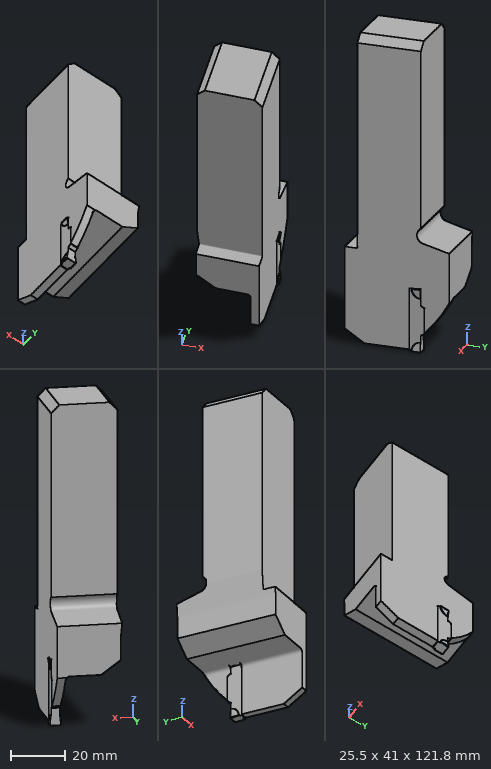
import cadquery as cq

total_height = 121.8
shank_side = 25.0
shank_front_y = 5.0
shank_back_y = shank_front_y + shank_side
shank_chamfer = 3.0

head_depth = 41.0
head_left_x = 1.1
taper_top_z = 45.7
taper_bottom_z = 35.3
taper_blend_radius = 10.5
ledge_z = 37.9
ledge_fillet = 0.5
head_bevel_x = 8.4
head_bevel_top_z = 26.5
head_bottom_z = 21.3
relief_top_z = 48.8
relief_floor_y = 28.4
relief_middle_z = 46.0
relief_end_y = 30.3
relief_bottom_z = 43.2
flare_edge_z = 40.6

blade_left_x = 21.7
blade_bottom_z = 0.7
blade_root_fillet = 1.5
blade_chamfer_y = 7.7
blade_chamfer_z = 5.6
jaw_top_z = 21.0
jaw_middle_y = 36.0
jaw_middle_z = 13.2
jaw_tip_z = 7.8
jaw_throat_z = 6.1

insert_length = 25.2
insert_middle_z = insert_length / 2
insert_center_x = (blade_left_x + shank_side) / 2
insert_body_width = shank_side - blade_left_x
insert_seat_y = 25.3
insert_rake_y = 29.8
insert_crown_y = 31.3
crown_half_length = 5.1
crown_ramp_length = 0.9
end_clearance = 0.4
edge_half_width = 2.13
edge_corner_chamfer = 0.4
flank_inner_half_width = 1.7
flank_length = 4.0
flank_depth = 3.5


def make_side_outline():
    """Holder silhouette along Y and Z, extruded across the shank width."""
    return (
        cq.Workplane("YZ")
        .moveTo(shank_front_y, total_height)
        .lineTo(shank_front_y, ledge_z)
        .lineTo(0, ledge_z)
        .lineTo(0, blade_chamfer_z)
        .lineTo(blade_chamfer_y, blade_bottom_z)
        .lineTo(insert_seat_y, blade_bottom_z)
        .lineTo(insert_seat_y, jaw_throat_z)
        .lineTo(insert_crown_y, jaw_tip_z)
        .threePointArc((jaw_middle_y, jaw_middle_z), (head_depth, jaw_top_z))
        .lineTo(head_depth, flare_edge_z)
        .lineTo(relief_end_y, relief_bottom_z)
        .threePointArc((relief_floor_y, relief_middle_z), (shank_back_y, relief_top_z))
        .lineTo(shank_back_y, total_height)
        .close()
        .extrude(shank_side)
        .edges(cq.selectors.NearestToPointSelector((shank_side / 2, shank_front_y, ledge_z)))
        .fillet(ledge_fillet)
    )


def make_front_outline():
    """Holder silhouette along X and Z, extruded through the head depth."""
    outline = [
        (shank_chamfer, total_height),
        (shank_side - shank_chamfer, total_height),
        (shank_side, total_height - shank_chamfer),
        (shank_side, 0),
        (blade_left_x, 0),
        (blade_left_x, head_bottom_z),
        (head_bevel_x, head_bottom_z),
        (head_left_x, head_bevel_top_z),
        (head_left_x, taper_bottom_z),
        (0, taper_top_z),
        (0, total_height - shank_chamfer),
    ]
    body = cq.Workplane("XZ").polyline(outline).close().extrude(-head_depth)
    middle_y = head_depth / 2
    blade_root = cq.selectors.NearestToPointSelector((blade_left_x, middle_y, head_bottom_z))
    taper_end = cq.selectors.NearestToPointSelector((head_left_x, middle_y, taper_bottom_z))
    body = body.edges(blade_root).fillet(blade_root_fillet)
    return body.edges(taper_end).fillet(taper_blend_radius)


def make_insert_profile(width):
    """Insert silhouette along Y and Z, centred across the given width."""
    ramp_half_length = crown_half_length + crown_ramp_length
    outline = [
        (insert_seat_y, end_clearance),
        (insert_rake_y, 0),
        (insert_rake_y, insert_middle_z - ramp_half_length),
        (insert_crown_y, insert_middle_z - crown_half_length),
        (insert_crown_y, insert_middle_z + crown_half_length),
        (insert_rake_y, insert_middle_z + ramp_half_length),
        (insert_rake_y, insert_length),
        (insert_seat_y, insert_length - end_clearance),
    ]
    return (
        cq.Workplane("YZ", origin=(insert_center_x - width / 2, 0, 0))
        .polyline(outline)
        .close()
        .extrude(width)
    )


def make_cutting_end():
    """Widened lower end, tapering upward inside a quarter-ellipse flank boundary."""
    corner_half_width = edge_half_width - edge_corner_chamfer
    wedge = (
        cq.Workplane("XZ", origin=(insert_center_x, 0, 0))
        .polyline([
            (-corner_half_width, 0),
            (corner_half_width, 0),
            (edge_half_width, edge_corner_chamfer),
            (flank_inner_half_width, flank_length),
            (-flank_inner_half_width, flank_length),
            (-edge_half_width, edge_corner_chamfer),
        ])
        .close()
        .extrude(-head_depth)
    )
    flank = (
        cq.Workplane("YZ")
        .center(insert_rake_y, 0)
        .ellipse(flank_depth, flank_length)
        .extrude(2 * shank_side)
    )
    return wedge.intersect(flank).intersect(make_insert_profile(2 * edge_half_width))


def make_insert():
    lower_end = make_cutting_end()
    upper_end = lower_end.mirror("XY", (0, 0, insert_middle_z))
    return make_insert_profile(insert_body_width).union(lower_end).union(upper_end)


def make_root_clearance():
    """Block that removes the blade root fillet beside the insert."""
    return cq.Workplane("XY", origin=(blade_left_x, insert_seat_y, head_bottom_z)).box(
        blade_root_fillet,
        insert_rake_y - insert_seat_y,
        blade_root_fillet,
        centered=False,
    ).translate((-blade_root_fillet, 0, -blade_root_fillet))


insert = make_insert()
holder = make_side_outline().intersect(make_front_outline()).cut(make_root_clearance()).cut(insert)

result = cq.Compound.makeCompound([holder.solids().val(), insert.solids().val()])